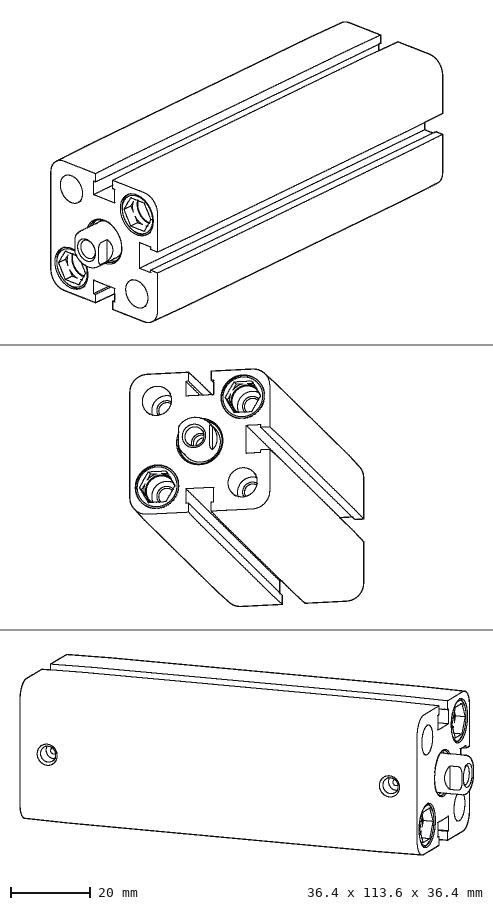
import cadquery as cq
import math


overall_length = 113.6
rod_reach = 6.6
body_length = overall_length - rod_reach
tube_side = 36.4
cap_side = 36.0
cap_length = 11.6
corner_radius = 4.7

slot_mouth = 5.8
slot_width = 7.2
slot_floor = 11.9
slot_lip = 15.7

hole_offset = 11.0
through_diameter = 4.1
thread_diameter = 4.9
counterbore_diameter = 7.5
counterbore_depth = 10.8
nut_seat_diameter = 11.1
nut_face_diameter = 10.2
nut_recess = 0.2
nut_bore_diameter = 8.0
nut_bore_depth = 4.5
hex_across_corners = 9.1
hex_depth = 2.8

front_center = (0, 0, 0)
rod_tip = (0, -rod_reach, 0)
rod_diameter = 10.0
rod_edge_radius = 1.0
rod_bore_diameter = 4.9
rod_core_diameter = 4.1
rod_bore_mouth = 6.0
rod_bore_depth = 8.0
rod_core_depth = 11.4
rod_across_flats = 8.0
flat_length = 3.3
recess_mouth = 11.9
recess_diameter = 11.4
recess_depth = 1.4

port_from_end = 7.4
port_mouth = 5.5
port_diameter = 4.1
port_depth = 4.5
port_pilot_diameter = 1.7
port_pilot_depth = 9.1


def rounded_square():
    """Cross-section of the tube, placed where the front cap meets it."""
    return (
        cq.Workplane("XZ", origin=(0, cap_length, 0))
        .sketch()
        .rect(tube_side, tube_side)
        .vertices()
        .fillet(corner_radius)
        .finalize()
    )


def tapered_cap():
    """Front end cap that widens from cap_side at Y = 0 to tube_side where it meets the tube."""
    taper = math.degrees(math.atan((tube_side - cap_side) / 2 / cap_length))
    return rounded_square().extrude(cap_length, taper=taper)


def cylinder(diameter, depth, point, direction=(0, 1, 0)):
    """Cylinder that runs from the point along direction."""
    solid = cq.Solid.makeCylinder(diameter / 2, depth, cq.Vector(*point), cq.Vector(*direction))
    return cq.Workplane(solid)


def chamfer_cone(mouth, bore, point, direction=(0, 1, 0)):
    """45-degree cone that narrows from mouth to bore diameter along direction."""
    height = (mouth - bore) / 2
    cone = cq.Solid.makeCone(mouth / 2, bore / 2, height, cq.Vector(*point), cq.Vector(*direction))
    return cq.Workplane(cone)


def slot():
    """T-shaped slot on +Z, open along the whole body."""
    centered = (True, False, False)
    start = cq.Workplane("XY", origin=(0, 0, slot_floor))
    wide = start.box(slot_width, body_length, slot_lip - slot_floor, centered=centered)
    mouth = start.box(slot_mouth, body_length, tube_side / 2 - slot_floor, centered=centered)
    return wide.union(mouth)


def thread_hole(x, z, depth):
    """Through hole with a small countersink at the given depth."""
    mouth = chamfer_cone(thread_diameter, through_diameter, (x, depth, z))
    return cylinder(through_diameter, body_length, (x, 0, z)).union(mouth)


def counterbored_hole(x, z):
    """Through hole that starts at the bottom of a deep round counterbore in the front cap."""
    counterbore = cylinder(counterbore_diameter, counterbore_depth, (x, 0, z))
    return thread_hole(x, z, counterbore_depth).union(counterbore)


def nut_hole(x, z):
    """Counterbored hole whose mouth holds a sunken nut with a chamfered rim and a hexagon socket."""
    seat_depth = nut_recess + (nut_seat_diameter - nut_face_diameter) / 2
    seat = cylinder(nut_seat_diameter, seat_depth, (x, 0, z))
    rim = chamfer_cone(nut_seat_diameter, nut_face_diameter, (x, seat_depth, z), (0, -1, 0))
    bore = cylinder(nut_bore_diameter, nut_bore_depth, (x, 0, z))
    hexagon = cq.Workplane("XZ", origin=(x, 0, z)).polygon(6, hex_across_corners).extrude(-hex_depth)
    return seat.cut(rim).union(bore).union(hexagon).union(counterbored_hole(x, z))


def port(y):
    """Air port that enters a tapered cap from -X at the given Y."""
    growth = (tube_side - cap_side) / 2 * port_from_end / cap_length
    start = (-cap_side / 2 - growth, y, 0)
    inward = (1, 0, 0)
    outward = (-1, 0, 0)
    bore = cylinder(port_diameter, port_depth, start, inward)
    pilot = cylinder(port_pilot_diameter, port_pilot_depth, start, inward)
    mouth = chamfer_cone(port_mouth, port_diameter, start, inward)
    opening = cylinder(port_mouth, port_depth, start, outward)
    return bore.union(pilot).union(mouth).union(opening)


def flat_cutter():
    """Material beside the +X wrench flat; the flat runs out at 45 degrees."""
    flat = rod_across_flats / 2
    outside = rod_diameter
    flat_end = flat_length - rod_reach
    return (
        cq.Workplane("XY")
        .moveTo(flat, -rod_reach)
        .lineTo(flat, flat_end)
        .lineTo(outside, flat_end + outside - flat)
        .lineTo(outside, -rod_reach)
        .close()
        .extrude(rod_diameter, both=True)
    )


def rod():
    """Rod end with a rounded edge and two wrench flats, rooted at the bottom of its recess."""
    bar = cylinder(rod_diameter, rod_reach + recess_depth, rod_tip)
    bar = bar.faces("<Y").edges().fillet(rod_edge_radius)
    cutter = flat_cutter()
    return bar.cut(cutter).cut(cutter.mirror("YZ"))


def rod_bore():
    """Countersunk bore in the rod tip that narrows to a core hole."""
    bore = cylinder(rod_bore_diameter, rod_bore_depth, rod_tip)
    mouth = chamfer_cone(rod_bore_mouth, rod_bore_diameter, rod_tip)
    core = cylinder(rod_core_diameter, rod_core_depth, rod_tip)
    bottom = chamfer_cone(rod_bore_diameter, rod_core_diameter, (0, rod_bore_depth - rod_reach, 0))
    return bore.union(mouth).union(core).union(bottom)


def rod_recess():
    """Chamfered round recess around the rod in the front cap."""
    recess = cylinder(recess_diameter, recess_depth, front_center)
    return recess.union(chamfer_cone(recess_mouth, recess_diameter, front_center))


front_cap = tapered_cap()
rear_cap = front_cap.mirror("XZ").translate((0, body_length, 0))
body = rounded_square().extrude(2 * cap_length - body_length).union(front_cap).union(rear_cap)

for angle in (0, 90, 180):
    body = body.cut(slot().rotate((0, 0, 0), (0, 1, 0), angle))

for side in (-1, 1):
    body = body.cut(nut_hole(side * hole_offset, side * hole_offset))
    body = body.cut(counterbored_hole(side * hole_offset, -side * hole_offset))

for port_y in (port_from_end, body_length - port_from_end):
    body = body.cut(port(port_y))

result = body.cut(rod_recess()).union(rod()).cut(rod_bore())